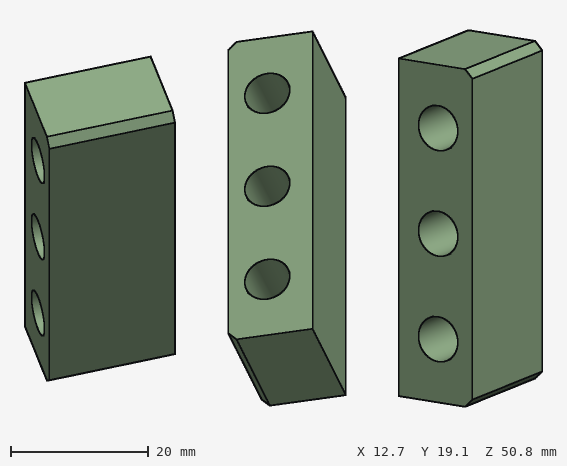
import cadquery as cq

width = 12.7
depth = 19.05
height = 50.8
chamfer = 1.25

hole_diameter = 6.75
hole_count = 3
hole_from_left = 6.8
hole_end_margin = depth / 2
hole_spacing = (height - 2 * hole_end_margin) / (hole_count - 1)


def make_block():
    """Centred block with its top and bottom edges on the +X side chamfered."""
    block = cq.Workplane("XY").box(width, depth, height)
    return block.faces(">X").edges("|Y").chamfer(chamfer)


def drill_holes(block):
    """Cut the evenly spaced holes through the block along Y."""
    hole_x = hole_from_left - width / 2
    drills = (
        cq.Workplane("XZ", origin=(hole_x, 0, 0))
        .rarray(0.5, hole_spacing, 1, hole_count)
        .circle(hole_diameter / 2)
        .extrude(depth, both=True)
    )
    return block.cut(drills)


result = drill_holes(make_block())